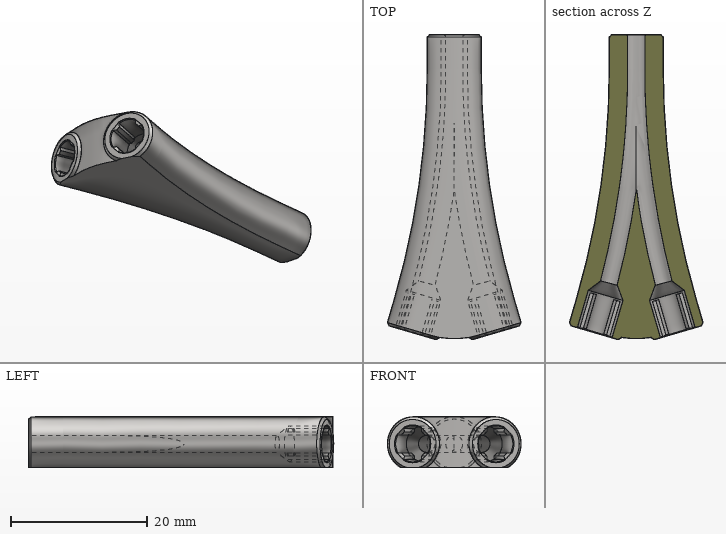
import cadquery as cq
import math

LENGTH = 44.85
TUBE_RADIUS = 4.0
HEIGHT = 7.5
ARM_CHAMFER = 0.4
NECK_CHAMFER = 0.35

NECK_LENGTH = 5.05
ARM_ANGLE = 16.3
ARM_END_LENGTH = 3.95

WEB_NOSE_RADIUS = 11.5

SOCKET_RADIUS = 2.65
SOCKET_DEPTH = 5.75
MOUTH_CHAMFER = 0.15
RIB_COUNT = 4
RIB_FIRST_ANGLE = 45.0
RIB_CREST_WIDTH = 0.65
RIB_HEIGHT = 0.45
RIB_LEAD_IN = 0.22
RIB_END_DEPTH = 5.45
CHANNEL_RADIUS = 1.25
CHANNEL_DEPTH = 7.62

SIN_ARM = math.sin(math.radians(ARM_ANGLE))
COS_ARM = math.cos(math.radians(ARM_ANGLE))
FACE_RADIUS = TUBE_RADIUS - ARM_CHAMFER
BEND_RADIUS = (LENGTH - NECK_LENGTH - ARM_END_LENGTH * COS_ARM - FACE_RADIUS * SIN_ARM) / SIN_ARM

BEND_CENTRE = (-BEND_RADIUS, 0)
BEND_END = (-BEND_RADIUS * (1 - COS_ARM), -BEND_RADIUS * SIN_ARM)


def point_on_arm_end(distance):
    """Point on the left arm's straight centre line, measured from the end of the bend."""
    return (BEND_END[0] - distance * SIN_ARM, BEND_END[1] - distance * COS_ARM)


def end_face_plane():
    """Plane of the left arm's end face, with its normal pointing into the arm."""
    x, y = point_on_arm_end(ARM_END_LENGTH)
    return cq.Plane(origin=(x, y, 0), xDir=(COS_ARM, -SIN_ARM, 0), normal=(SIN_ARM, COS_ARM, 0))


def bent_rod(radius):
    """Round rod along the bend of the left arm."""
    return (
        cq.Workplane("XZ").circle(radius)
        .revolve(ARM_ANGLE, (BEND_CENTRE[0], 0, 0), (BEND_CENTRE[0], -1, 0))
    )


def neck():
    """Straight neck with a chamfered free end."""
    return (
        cq.Workplane("XZ").circle(TUBE_RADIUS).extrude(-NECK_LENGTH)
        .faces(">Y").chamfer(NECK_CHAMFER)
    )


def left_arm():
    """Bend and straight end of the left arm, chamfered at the end face."""
    arm_end = (
        cq.Workplane(end_face_plane()).circle(TUBE_RADIUS).extrude(ARM_END_LENGTH)
        .faces("<Y").chamfer(ARM_CHAMFER)
    )
    return bent_rod(TUBE_RADIUS).union(arm_end)


def web():
    """Full-height plate between the two arm centre lines, with a rounded front edge."""
    corner = point_on_arm_end(ARM_END_LENGTH - ARM_CHAMFER)
    nose_half_width = WEB_NOSE_RADIUS * SIN_ARM
    nose_start_y = corner[1] - (-corner[0] - nose_half_width) * SIN_ARM / COS_ARM
    nose_tip_y = nose_start_y - WEB_NOSE_RADIUS * (1 - COS_ARM)
    half_bend = math.radians(ARM_ANGLE / 2)
    bend_middle = (-BEND_RADIUS * (1 - math.cos(half_bend)), -BEND_RADIUS * math.sin(half_bend))
    return (
        cq.Workplane("XY", origin=(0, 0, -TUBE_RADIUS))
        .moveTo(0, 0)
        .threePointArc(bend_middle, BEND_END)
        .lineTo(*corner)
        .lineTo(-nose_half_width, nose_start_y)
        .threePointArc((0, nose_tip_y), (nose_half_width, nose_start_y))
        .lineTo(-corner[0], corner[1])
        .lineTo(-BEND_END[0], BEND_END[1])
        .threePointArc((-bend_middle[0], bend_middle[1]), (0, 0))
        .close()
        .extrude(2 * TUBE_RADIUS)
    )


def socket_rib(angle):
    """Ridge along the socket wall with a ramp at the mouth, as material left inside the socket."""
    crest = SOCKET_RADIUS - RIB_HEIGHT
    root = SOCKET_RADIUS + RIB_HEIGHT
    crest_half_width = RIB_CREST_WIDTH / 2
    root_half_width = crest_half_width + root - crest
    ridge = (
        cq.Workplane("XY")
        .polyline([
            (crest, -crest_half_width), (root, -root_half_width),
            (root, root_half_width), (crest, crest_half_width),
        ])
        .close()
        .extrude(RIB_END_DEPTH)
    )
    ramp = (
        cq.Workplane("XZ")
        .polyline([(crest, 0), (SOCKET_RADIUS, 0), (crest, RIB_LEAD_IN)])
        .close()
        .extrude(root_half_width, both=True)
    )
    return ridge.cut(ramp).rotate((0, 0, 0), (0, 0, 1), angle)


def left_socket():
    """Void of the left socket: ribbed bore with a cone down to the channel."""
    void = (
        cq.Workplane("XZ")
        .polyline([
            (0, 0), (SOCKET_RADIUS + MOUTH_CHAMFER, 0),
            (SOCKET_RADIUS, MOUTH_CHAMFER), (SOCKET_RADIUS, SOCKET_DEPTH),
            (CHANNEL_RADIUS, CHANNEL_DEPTH), (0, CHANNEL_DEPTH),
        ])
        .close()
        .revolve(360, (0, 0, 0), (0, 1, 0))
    )
    for index in range(RIB_COUNT):
        void = void.cut(socket_rib(RIB_FIRST_ANGLE + index * 360 / RIB_COUNT))
    return cq.Workplane(void.val().moved(cq.Location(end_face_plane())))


arm = left_arm()
body = neck().union(arm).union(arm.mirror("YZ")).union(web())

underside = HEIGHT - TUBE_RADIUS
body = body.intersect(
    cq.Workplane("XY", origin=(0, 0, -underside))
    .rect(2 * LENGTH, 3 * LENGTH)
    .extrude(HEIGHT)
)

neck_channel = cq.Workplane("XZ").circle(CHANNEL_RADIUS).extrude(-NECK_LENGTH)
for void in (left_socket(), bent_rod(CHANNEL_RADIUS)):
    body = body.cut(void).cut(void.mirror("YZ"))

result = body.cut(neck_channel)